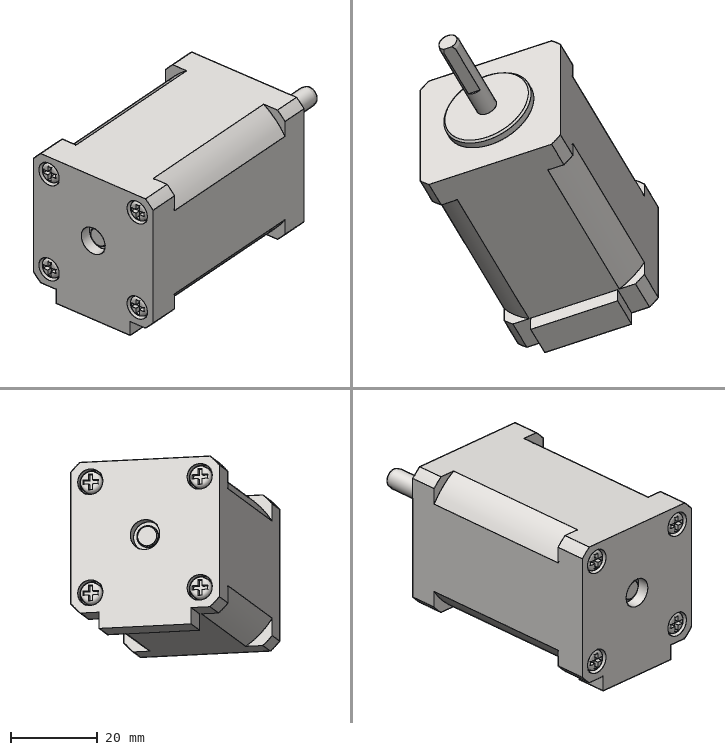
import cadquery as cq
import math

total_length = 79.5
rear_cover_length = 7.95
front_flange_length = 7.0
boss_height = 2.1
shaft_reach = 24.0
flange_face_y = total_length - shaft_reach
flange_back_y = flange_face_y - front_flange_length

side = 35.3
half_side = side / 2
cover_flat_half = 15.4
cover_corner_radius = math.hypot(half_side, cover_flat_half)
stator_flat_half = 11.4
stator_corner_radius = math.hypot(half_side, stator_flat_half)

boss_diameter = 21.95
boss_chamfer = 0.5

connector_width = 21.9
connector_drop = 3.8

shaft_diameter = 5.0
shaft_radius = shaft_diameter / 2
shaft_end_depth = 2.0
shaft_chamfer_length = 1.0
shaft_chamfer_width = 0.2
flat_length = 14.95
flat_depth = 0.5

recess_diameter = 7.0
recess_depth = 3.0

screw_pitch = 26.0
screw_pocket_diameter = 6.0
screw_pocket_depth = 2.0
screw_head_diameter = 5.2
screw_head_gap = 0.15
screw_head_round = 0.9
cross_length = 3.65
cross_width = 0.95
cross_depth = 1.3


def disc(diameter, y_start, y_end):
    """Cylinder on the motor axis."""
    return (
        cq.Workplane("XZ", origin=(0, y_start, 0))
        .circle(diameter / 2)
        .extrude(y_start - y_end)
    )


def block(width, height, y_start, y_end, z_center=0):
    """Box centred on x = 0 that spans y_start to y_end."""
    return (
        cq.Workplane("XZ", origin=(0, y_start, z_center))
        .rect(width, height)
        .extrude(y_start - y_end)
    )


def turned_square(corner_radius, y_start, y_end):
    """Square bar whose corners are turned to a circle about the motor axis."""
    square = block(side, side, y_start, y_end)
    return square.intersect(disc(2 * corner_radius, y_start, y_end))


def make_boss():
    boss = disc(boss_diameter, flange_face_y, flange_face_y + boss_height)
    return boss.faces(">Y").chamfer(boss_chamfer)


def make_connector():
    height = half_side + connector_drop
    return block(connector_width, height, 0, rear_cover_length, -height / 2)


def make_screw_head():
    """Round screw head with a cross recess, centred on the motor axis."""
    head = disc(screw_head_diameter, screw_head_gap, screw_pocket_depth)
    head = head.faces("<Y").edges().fillet(screw_head_round)
    cross_floor = screw_head_gap + cross_depth
    for width, height in ((cross_length, cross_width), (cross_width, cross_length)):
        head = head.cut(block(width, height, 0, cross_floor))
    return head


def make_housing():
    housing = (
        turned_square(cover_corner_radius, 0, rear_cover_length)
        .union(turned_square(stator_corner_radius, rear_cover_length, flange_back_y))
        .union(turned_square(cover_corner_radius, flange_back_y, flange_face_y))
        .union(make_boss())
        .union(make_connector())
    )
    pocket = disc(screw_pocket_diameter, 0, screw_pocket_depth)
    screw_head = make_screw_head()
    for x_sign in (-1, 1):
        for z_sign in (-1, 1):
            place = (x_sign * screw_pitch / 2, 0, z_sign * screw_pitch / 2)
            housing = housing.cut(pocket.translate(place))
            housing = housing.union(screw_head.translate(place))
    housing = housing.cut(disc(recess_diameter, 0, recess_depth))
    return housing.cut(disc(shaft_diameter, 0, total_length))


def make_shaft():
    tip_radius = shaft_radius - shaft_chamfer_width
    profile = [
        (0, shaft_end_depth),
        (tip_radius, shaft_end_depth),
        (shaft_radius, shaft_end_depth + shaft_chamfer_width),
        (shaft_radius, total_length - shaft_chamfer_length),
        (tip_radius, total_length),
        (0, total_length),
    ]
    shaft = cq.Workplane("XY").polyline(profile).close().revolve(360, (0, 0), (0, 1))
    flat_cut = block(
        shaft_diameter, flat_depth, total_length - flat_length, total_length, flat_depth / 2 - shaft_radius
    )
    return shaft.cut(flat_cut)


housing = make_housing()
shaft = make_shaft()
result = cq.Compound.makeCompound([housing.val(), shaft.val()])